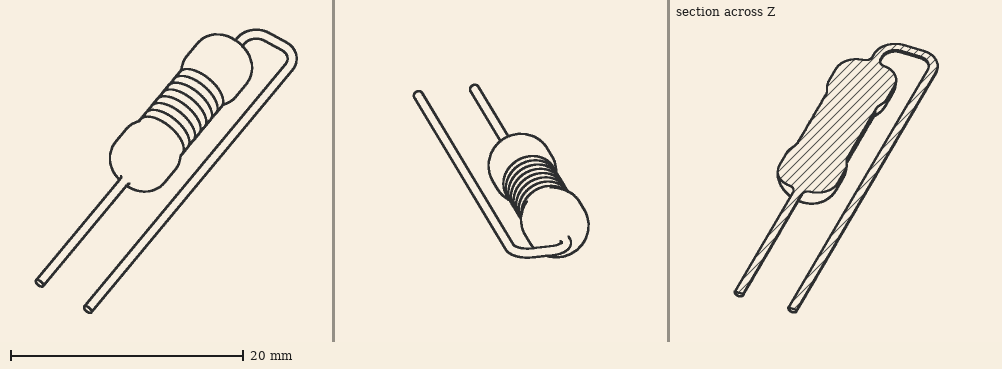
import cadquery as cq
import math

cap_radius = 5.5 / 2
core_radius = 4.67 / 2
band_radius = 4.7 / 2
body_half_length = 16.5 / 2
dome_radius = 1.9
cap_cylinder_length = 1.7

band_count = 4
core_half_length = 3.05
band_width = 2 * core_half_length / (2 * band_count - 1)

wire_radius = 0.8 / 2
lead_spacing = 5.0
bend_radius = 1.6
overall_length = 33.1
straight_above_body = 1.0
root_fillet = 0.6

cap_outer_y = body_half_length - dome_radius
cap_inner_y = cap_outer_y - cap_cylinder_length
dome_center = (cap_radius - dome_radius, cap_outer_y)
bend_start_y = body_half_length + straight_above_body
crossover_y = bend_start_y + bend_radius
lead_end_y = crossover_y + wire_radius - overall_length


def point_on_circle(center, radius, angle):
    """Point on a circle at an angle in radians from the +X direction."""
    return (center[0] + radius * math.cos(angle), center[1] + radius * math.sin(angle))


def body_end():
    """+Y end of the body, with the shoulder, cap, dome and wire root fillet."""
    overlap_start_y = core_half_length - band_width / 2
    shoulder_middle = ((core_radius + cap_radius) / 2, (core_half_length + cap_inner_y) / 2)

    fillet_x = wire_radius + root_fillet
    center_offset = fillet_x - dome_center[0]
    center_distance = dome_radius + root_fillet
    root_y = cap_outer_y + math.sqrt(center_distance**2 - center_offset**2)
    contact_angle = math.acos(center_offset / center_distance)
    dome_contact = point_on_circle(dome_center, dome_radius, contact_angle)

    profile = (
        cq.Workplane("XY")
        .moveTo(0, overlap_start_y)
        .lineTo(core_radius, overlap_start_y)
        .lineTo(core_radius, core_half_length)
        .tangentArcPoint(shoulder_middle, relative=False)
        .tangentArcPoint((cap_radius, cap_inner_y), relative=False)
        .lineTo(cap_radius, cap_outer_y)
        .threePointArc(point_on_circle(dome_center, dome_radius, contact_angle / 2), dome_contact)
        .tangentArcPoint((wire_radius, root_y), relative=False)
        .lineTo(0, root_y)
        .close()
    )
    return profile.revolve(360, (0, 0, 0), (0, 1, 0))


def cylinder_along_y(radius, start_y, length):
    """Cylinder on the body axis, reaching from start_y toward +Y."""
    return cq.Workplane("XZ", origin=(0, start_y, 0)).circle(radius).extrude(-length)


def banded_core():
    """Straight core between the two ends, with its evenly spaced colour bands."""
    core = cylinder_along_y(core_radius, -core_half_length, 2 * core_half_length)
    for index in range(band_count):
        start_y = -core_half_length + 2 * index * band_width
        core = core.union(cylinder_along_y(band_radius, start_y, band_width))
    return core


def lead_wire():
    """Wire from the far lead end, over the two bends and down along the body axis."""
    bend_run = bend_radius * (1 - math.sqrt(0.5))
    path = (
        cq.Workplane("XY")
        .moveTo(lead_spacing, lead_end_y)
        .lineTo(lead_spacing, bend_start_y)
        .threePointArc(
            (lead_spacing - bend_run, crossover_y - bend_run),
            (lead_spacing - bend_radius, crossover_y),
        )
        .lineTo(bend_radius, crossover_y)
        .threePointArc((bend_run, crossover_y - bend_run), (0, bend_start_y))
        .lineTo(0, lead_end_y)
    )
    section = cq.Workplane("XZ", origin=(lead_spacing, lead_end_y, 0)).circle(wire_radius)
    return section.sweep(path)


far_end = body_end()
near_end = far_end.mirror("XZ")
result = banded_core().union(far_end).union(near_end).union(lead_wire())